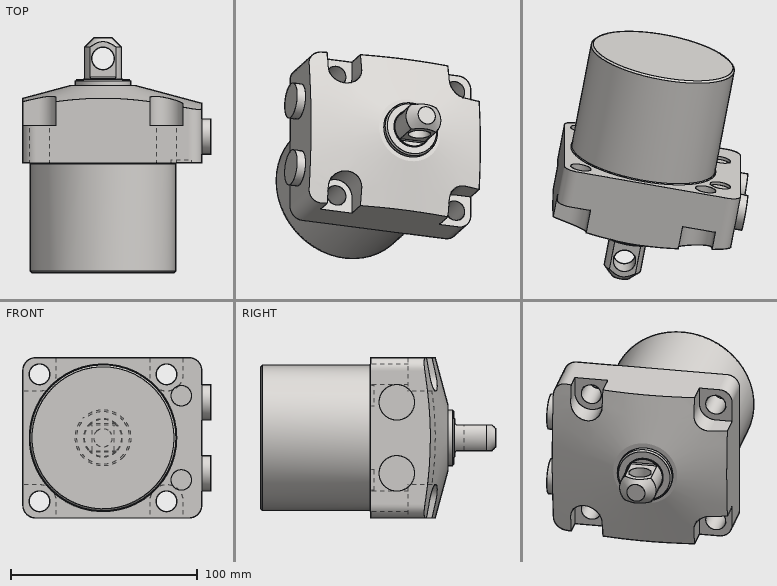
import cadquery as cq
import math


overall_width = 100.8
overall_length = 126.0

body_height = 86.0
body_width = 96.0
body_left = -body_height / 2
body_right = body_left + body_width
corner_radius = 7.0

crown_y = 41.5
crown_radius = 17.5
cone_angle = 15.0

collar_radius = 15.0
collar_height = 3.2
collar_chamfer = 0.9
collar_y = crown_y + collar_height
lip_width = 0.4
lip_height = 0.4

barrel_radius = 39.0
barrel_length = 59.0
barrel_chamfer = 1.0
barrel_root = 0.5

hole_offset = 34.0
hole_diameter = 11.0
pocket_radius = 9.0
pocket_floor_y = 20.0

recess_x = 42.0
recess_z = 22.5
recess_diameter = 11.0
recess_depth = 1.6

plug_diameter = 19.0
plug_length = overall_width - body_width
plug_y = 14.0
plug_z = 19.0

rod_radius = 10.0
rod_tip_y = overall_length - barrel_length
rod_tip_chamfer = 5.0
flat_thickness = 14.0
flat_root_y = 45.2
flat_root_chamfer = 0.6
eye_diameter = 12.0
eye_y = 56.0


def revolve_about_y(points):
    """Closed (radius, y) profile turned around the Y axis."""
    return cq.Workplane("XY").polyline(points).close().revolve(360, (0, 0, 0), (0, 1, 0))


def disc_along_y(diameter, x, z, y_start, y_end):
    """Cylinder parallel to Y between two Y positions."""
    plane = cq.Workplane("XZ", origin=(x, y_start, z))
    return plane.circle(diameter / 2).extrude(y_start - y_end)


def block_between(x_range, y_range, z_range):
    """Box given by its limits along each axis."""
    size = [high - low for low, high in (x_range, y_range, z_range)]
    corner = (x_range[0], y_range[0], z_range[0])
    return cq.Workplane("XY").box(*size, centered=False).translate(corner)


def make_block():
    """Rounded block whose back is trimmed to a shallow cone."""
    block = block_between(
        (body_left, body_right), (0, crown_y), (-body_height / 2, body_height / 2)
    )
    block = block.edges("|Y").fillet(corner_radius)
    cone_radius = math.hypot(body_right, body_height / 2)
    rim_y = crown_y - (cone_radius - crown_radius) * math.tan(math.radians(cone_angle))
    cone = revolve_about_y([
        (0, 0), (cone_radius, 0), (cone_radius, rim_y), (crown_radius, crown_y), (0, crown_y),
    ])
    return block.intersect(cone)


def make_collar():
    """Chamfered collar with the thin sealing lip on top."""
    lip_radius = rod_radius + lip_width
    lip_y = collar_y + lip_height
    return revolve_about_y([
        (0, crown_y),
        (collar_radius, crown_y),
        (collar_radius, collar_y - collar_chamfer),
        (collar_radius - collar_chamfer, collar_y),
        (lip_radius, collar_y),
        (lip_radius, lip_y),
        (rod_radius, lip_y),
        (rod_radius, collar_y),
        (0, collar_y),
    ])


def make_barrel():
    """Barrel with a chamfered end and a flared root."""
    return revolve_about_y([
        (0, 0),
        (barrel_radius + barrel_root, 0),
        (barrel_radius, -barrel_root),
        (barrel_radius, barrel_chamfer - barrel_length),
        (barrel_radius - barrel_chamfer, -barrel_length),
        (0, -barrel_length),
    ])


def make_pocket(x_side, z_side):
    """Round-bottomed pocket behind a mounting hole, open at the Z edge; left pockets open at -X too."""
    x = x_side * hole_offset
    z = z_side * hole_offset
    z_edge = z_side * body_height / 2
    y_range = (pocket_floor_y, crown_y)
    pocket = disc_along_y(2 * pocket_radius, x, z, *y_range)
    slot_z = sorted((z, z_edge))
    pocket = pocket.union(block_between((x - pocket_radius, x + pocket_radius), y_range, slot_z))
    if x_side < 0:
        corner_z = sorted((z - z_side * pocket_radius, z_edge))
        pocket = pocket.union(block_between((body_left, x), y_range, corner_z))
    return pocket


def make_housing():
    housing = make_block().union(make_collar()).union(make_barrel())
    for z_side in (-1, 1):
        for x_side in (-1, 1):
            hole = disc_along_y(
                hole_diameter, x_side * hole_offset, z_side * hole_offset, 0, crown_y
            )
            housing = housing.cut(hole).cut(make_pocket(x_side, z_side))
        housing = housing.cut(
            disc_along_y(recess_diameter, recess_x, z_side * recess_z, 0, recess_depth)
        )
    return housing


def make_rod():
    """Rod standing on the collar, with two flats, a cross eye and a conical tip."""
    rod = revolve_about_y([
        (0, collar_y),
        (rod_radius, collar_y),
        (rod_radius, rod_tip_y - rod_tip_chamfer),
        (rod_radius - rod_tip_chamfer, rod_tip_y),
        (0, rod_tip_y),
    ])
    flat_z = flat_thickness / 2
    for side in (-1, 1):
        removed = (
            cq.Workplane("YZ", origin=(-rod_radius, 0, 0))
            .moveTo(flat_root_y + flat_root_chamfer, side * flat_z)
            .lineTo(rod_tip_y, side * flat_z)
            .lineTo(rod_tip_y, side * rod_radius)
            .lineTo(flat_root_y, side * rod_radius)
            .lineTo(flat_root_y, side * (flat_z + flat_root_chamfer))
            .close()
            .extrude(2 * rod_radius)
        )
        rod = rod.cut(removed)
    eye = (
        cq.Workplane("XY", origin=(0, eye_y, 0))
        .circle(eye_diameter / 2)
        .extrude(rod_radius, both=True)
    )
    return rod.cut(eye)


def make_plug(z):
    """Round port plug seated on the +X face of the housing."""
    plane = cq.Workplane("YZ", origin=(body_right, plug_y, z))
    return plane.circle(plug_diameter / 2).extrude(plug_length)


housing = make_housing()
rod = make_rod()
plugs = [make_plug(side * plug_z) for side in (-1, 1)]

result = cq.Compound.makeCompound([
    housing.val(),
    rod.val(),
    *[plug.val() for plug in plugs],
])